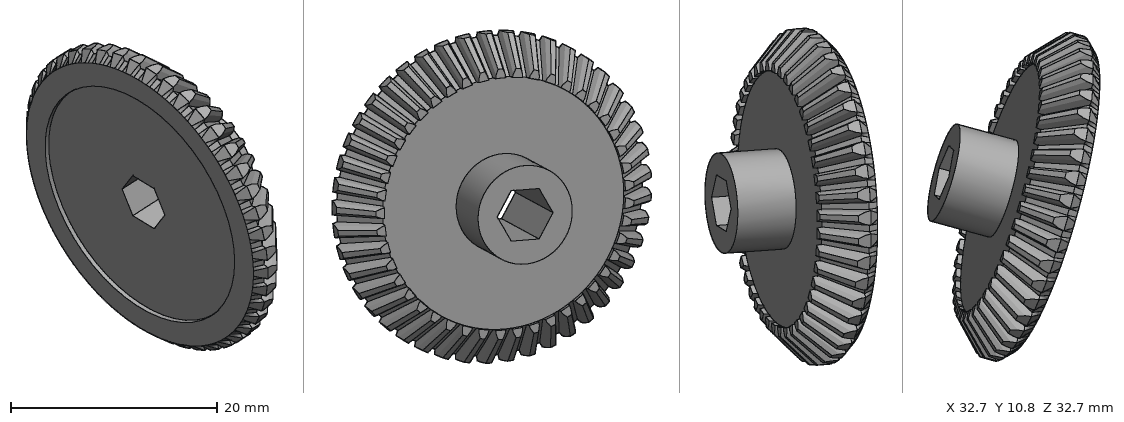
import cadquery as cq
import math

tooth_count = 45
outer_radius = 16.35
total_length = 10.75
hub_diameter = 9.8
hex_across_flats = 5.0
recess_diameter = 25.7
recess_depth = 0.5

front_radius = 15.38
front_bevel_depth = 1.0
tooth_back = 5.25
web_back = 4.75
tip_back_radius = 13.42

apex = tooth_back + tip_back_radius
tip_radius = apex - front_bevel_depth
tip_front = apex - outer_radius
root_radius = 15.87
root_half_width = 0.8
knee_radius = 16.92
knee_half_width = 0.62
tip_half_width = 0.33
front_half_width = 0.31
tooth_embed = 0.82


def cone_scale(y):
    """Size of a tooth section at y, relative to the widest section."""
    return (apex - y) / (apex - front_bevel_depth)


root_back_radius = root_radius * cone_scale(web_back)


def revolve_profile(points):
    return cq.Workplane("XY").polyline(points).close().revolve(360, (0, 0, 0), (0, 1, 0))


def section(half_outline, y):
    """Corners of a closed section at y from (radius, half width) pairs mirrored about the X axis."""
    lower = [cq.Vector(radius, y, -half) for radius, half in half_outline]
    upper = [cq.Vector(radius, y, half) for radius, half in reversed(half_outline)]
    return lower + upper


def outline_wire(corners):
    return cq.Wire.makePolygon(corners, close=True)


def tapered_prism(half_outline, y_start, y_end):
    """Flat-sided solid whose section at y_start shrinks toward the apex up to y_end."""
    scale = cone_scale(y_end) / cone_scale(y_start)
    shrunk_outline = [(radius * scale, half * scale) for radius, half in half_outline]
    start = section(half_outline, y_start)
    end = section(shrunk_outline, y_end)
    sides = [
        [start[index - 1], start[index], end[index], end[index - 1]]
        for index in range(len(start))
    ]
    faces = [cq.Face.makeFromWires(outline_wire(corners)) for corners in [start, end] + sides]
    solid = cq.Solid.makeSolid(cq.Shell.makeShell(faces))
    return cq.Workplane(obj=solid.fix())


def lower_flank_half_width(radius):
    """Half width of the widest section between the root and the knee."""
    fraction = (radius - root_radius) / (knee_radius - root_radius)
    return root_half_width + fraction * (knee_half_width - root_half_width)


def point_on_circle(circle_radius, half_width):
    """Pair whose corner lies on the given circle about the gear axis."""
    return math.sqrt(circle_radius**2 - half_width**2), half_width


def make_body():
    web = revolve_profile([
        (0, 0),
        (front_radius, 0),
        (root_radius, front_bevel_depth),
        (root_back_radius, web_back),
        (0, web_back),
    ])
    hub = cq.Workplane("XZ").circle(hub_diameter / 2).extrude(-total_length)
    return web.union(hub)


def make_tooth():
    base_radius = root_radius - tooth_embed
    wide = [
        (base_radius, root_half_width),
        (root_radius, root_half_width),
        (knee_radius, knee_half_width),
        (tip_radius, tip_half_width),
    ]
    flanks = tapered_prism(wide, front_bevel_depth, tooth_back)
    envelope = revolve_profile([
        (0, 0),
        (outer_radius, 0),
        (outer_radius, tip_front),
        (tip_back_radius, tooth_back),
        (root_back_radius, tooth_back),
        (root_back_radius, web_back),
        (0, web_back),
    ])
    flanks = flanks.intersect(envelope)

    bevel_top = [
        (base_radius, root_half_width),
        (root_radius, root_half_width),
        point_on_circle(outer_radius, lower_flank_half_width(outer_radius)),
    ]
    bevel_bottom = [
        (front_radius - tooth_embed, root_half_width),
        point_on_circle(front_radius, root_half_width),
        point_on_circle(front_radius, front_half_width),
    ]
    bottom_wire = outline_wire(section(bevel_bottom, 0))
    top_wire = outline_wire(section(bevel_top, front_bevel_depth))
    bevel = cq.Solid.makeLoft([bottom_wire, top_wire], True)
    return flanks.union(cq.Workplane(obj=bevel))


def make_gear():
    tooth = make_tooth().val()
    teeth = [
        tooth.rotate((0, 0, 0), (0, 1, 0), index * 360 / tooth_count)
        for index in range(tooth_count)
    ]
    return cq.Workplane(obj=make_body().val().fuse(*teeth))


recess = cq.Workplane("XZ").circle(recess_diameter / 2).extrude(-recess_depth)
hex_across_corners = hex_across_flats / math.cos(math.pi / 6)
bore = cq.Workplane("XZ").polygon(6, hex_across_corners).extrude(-total_length)

result = make_gear().cut(recess).cut(bore)